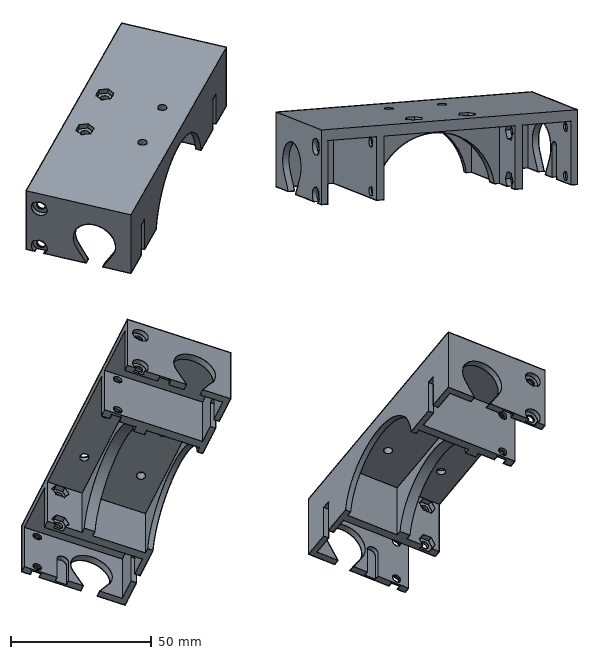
import cadquery as cq
import math

width = 39.8
length = 100.0
height = 27.1

deck_thickness = 4.0
side_plate_thickness = 2.1
outer_wall_thickness = 2.5
inner_wall_thickness = 3.0
bay_length = 24.5

arch_radius = 23.7
arch_top = 20.2
rib_start = 13.3
rib_thickness = 4.1

screw_diameter = 3.2
screw_head_diameter = 6.0
screw_head_depth = 1.8
nut_across_flats = 5.6
nut_depth = 2.0
wall_screw_x = 5.0
wall_screw_heights = (2.5, 20.2)
deck_nut_x = 8.0
deck_plain_x = 29.8
deck_screw_y = 10.4

teardrop_radius = 8.0
teardrop_x = 25.9
teardrop_z = 10.5
teardrop_foot = 3.1
groove_width = 4.3
groove_x = 14.8
groove_height = 13.3
groove_depth = 1.8
side_slot_width = 3.3
side_slot_height = 14.0
side_slot_inset = 12.6

deck_underside = height - deck_thickness
half_length = length / 2
inner_wall_y = half_length - bay_length
outer_wall_y = half_length - outer_wall_thickness
nut_across_corners = nut_across_flats / math.cos(math.pi / 6)


def box(x0, x1, y0, y1, z0, z1):
    return cq.Workplane("XY").box(x1 - x0, y1 - y0, z1 - z0, centered=False).translate((x0, y0, z0))


def facing_plane(y):
    """Sketch plane at the given Y: local axes are X and Z, extrusion runs towards +Y."""
    return cq.Workplane(cq.Plane(origin=(0, y, 0), xDir=(1, 0, 0), normal=(0, -1, 0)))


def both_ends(feature):
    return feature.union(feature.mirror("XZ"))


def frame():
    """Deck, side plate, centre rib and the four cross walls."""
    deck = box(0, width, -half_length, half_length, deck_underside, height)
    side = box(width - side_plate_thickness, width, -half_length, half_length, 0, deck_underside)
    rib = box(rib_start, rib_start + rib_thickness, -inner_wall_y, inner_wall_y, 0, deck_underside)
    outer_wall = box(0, width, outer_wall_y, half_length, 0, deck_underside)
    inner_wall = box(0, width, inner_wall_y, inner_wall_y + inner_wall_thickness, 0, deck_underside)
    walls = both_ends(outer_wall.union(inner_wall))
    return deck.union(side).union(rib).union(walls)


def arch():
    """Cylinder along X that clears the middle of the rib and the side plate."""
    return cq.Workplane("YZ").center(0, arch_top - arch_radius).circle(arch_radius).extrude(width)


def wall_screws():
    """Screw holes along Y, heads sunk in the end wall and nuts in the inner wall."""
    centres = [(wall_screw_x, z) for z in wall_screw_heights]
    holes = facing_plane(inner_wall_y).pushPoints(centres).circle(screw_diameter / 2).extrude(-bay_length)
    heads = (facing_plane(half_length - screw_head_depth).pushPoints(centres)
             .circle(screw_head_diameter / 2).extrude(-screw_head_depth))
    nuts = facing_plane(inner_wall_y).pushPoints(centres).polygon(6, nut_across_corners).extrude(-nut_depth)
    return holes.union(heads).union(nuts)


def teardrop():
    """Round opening through the end wall that narrows tangentially down to the bottom edge."""
    foot_distance = math.hypot(teardrop_foot, teardrop_z)
    angle = math.atan2(-teardrop_z, teardrop_foot) + math.acos(teardrop_radius / foot_distance)
    reach = teardrop_radius * math.cos(angle)
    tangent_z = teardrop_z + teardrop_radius * math.sin(angle)
    return (facing_plane(outer_wall_y)
            .moveTo(teardrop_x - teardrop_foot, 0)
            .lineTo(teardrop_x + teardrop_foot, 0)
            .lineTo(teardrop_x + reach, tangent_z)
            .threePointArc((teardrop_x, teardrop_z + teardrop_radius), (teardrop_x - reach, tangent_z))
            .close().extrude(-outer_wall_thickness))


def groove():
    """Blind round-topped groove in the bay side of the end wall."""
    radius = groove_width / 2
    return (facing_plane(outer_wall_y)
            .moveTo(groove_x - radius, 0)
            .lineTo(groove_x + radius, 0)
            .lineTo(groove_x + radius, groove_height - radius)
            .threePointArc((groove_x, groove_height), (groove_x - radius, groove_height - radius))
            .close().extrude(-groove_depth))


def side_slot():
    """Slot through the side plate, open at the bottom."""
    y = half_length - side_slot_inset
    return box(width - side_plate_thickness, width,
               y - side_slot_width / 2, y + side_slot_width / 2, 0, side_slot_height)


def deck_screws():
    """Four vertical screw holes, the pair nearer the open side with nut pockets on top."""
    rows = (-deck_screw_y, deck_screw_y)
    centres = [(x, y) for x in (deck_nut_x, deck_plain_x) for y in rows]
    holes = (cq.Workplane("XY").workplane(offset=deck_underside).pushPoints(centres)
             .circle(screw_diameter / 2).extrude(deck_thickness))
    nut_plane = cq.Plane(origin=(deck_nut_x, 0, height - nut_depth), xDir=(0, 1, 0), normal=(0, 0, 1))
    nuts = (cq.Workplane(nut_plane).pushPoints([(y, 0) for y in rows])
            .polygon(6, nut_across_corners).extrude(nut_depth))
    return holes.union(nuts)


end_cuts = wall_screws().union(teardrop()).union(groove()).union(side_slot())
result = frame().cut(arch()).cut(both_ends(end_cuts)).cut(deck_screws())